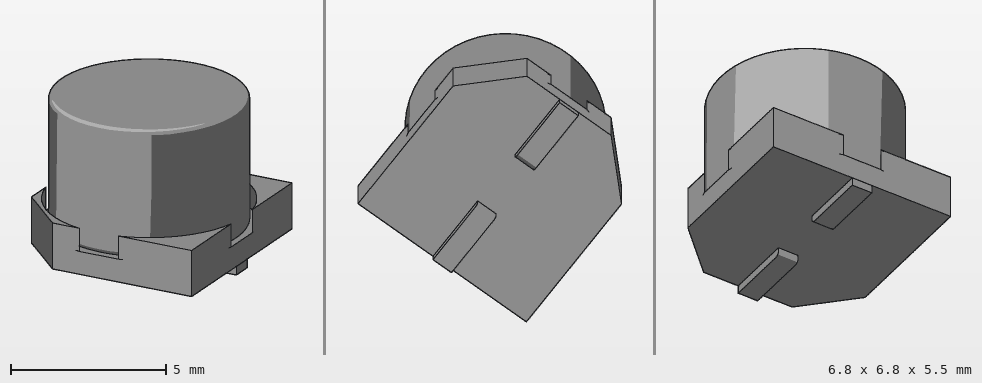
import cadquery as cq

BASE_SIDE = 6.8
BASE_HEIGHT = 1.6
CORNER_CUT = 1.7

RECESS_DIAMETER = 6.95
RECESS_DEPTH = 0.8

CAN_DIAMETER = 6.5
CAN_EDGE_RADIUS = 0.15

TERMINAL_LENGTH = 2.4
TERMINAL_WIDTH = 0.75
TERMINAL_THICKNESS = 0.3
TERMINAL_EDGE_RADIUS = 0.15

TOTAL_HEIGHT = 5.5
BASE_BOTTOM = TERMINAL_THICKNESS
BASE_TOP = BASE_BOTTOM + BASE_HEIGHT
RECESS_FLOOR = BASE_TOP - RECESS_DEPTH


def make_base():
    block = (
        cq.Workplane("XY")
        .workplane(offset=BASE_BOTTOM)
        .rect(BASE_SIDE, BASE_SIDE)
        .extrude(BASE_HEIGHT)
        .edges("|Z and <X")
        .chamfer(CORNER_CUT)
    )
    recess = (
        cq.Workplane("XY")
        .workplane(offset=RECESS_FLOOR)
        .circle(RECESS_DIAMETER / 2)
        .extrude(RECESS_DEPTH)
    )
    return block.cut(recess)


def make_can():
    return (
        cq.Workplane("XY")
        .workplane(offset=RECESS_FLOOR)
        .circle(CAN_DIAMETER / 2)
        .extrude(TOTAL_HEIGHT - RECESS_FLOOR)
        .faces("<Z or >Z")
        .edges()
        .fillet(CAN_EDGE_RADIUS)
    )


def make_terminal(side):
    """Terminal flush with the base on the +X (side = 1) or -X (side = -1) side."""
    center_x = side * (BASE_SIDE - TERMINAL_LENGTH) / 2
    inner_end = "<X" if side > 0 else ">X"
    return (
        cq.Workplane("XY")
        .center(center_x, 0)
        .rect(TERMINAL_LENGTH, TERMINAL_WIDTH)
        .extrude(TERMINAL_THICKNESS)
        .faces(inner_end)
        .edges("<Z")
        .fillet(TERMINAL_EDGE_RADIUS)
    )


base = make_base()
can = make_can()
terminals = [make_terminal(side).val() for side in (-1, 1)]

result = cq.Compound.makeCompound([base.val(), can.val(), *terminals])